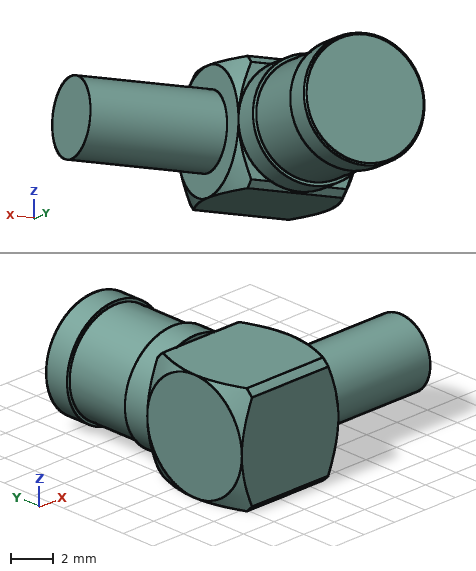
import cadquery as cq
import math

TOTAL_LENGTH_X = 13.55
TOTAL_LENGTH_Y = 13.25

BLOCK_SIZE = 6.35
BAR_DIAMETER = 8.5
END_CONE_SLOPE = 32.0

BARREL_DIAMETER = BLOCK_SIZE
GROOVE_DIAMETER = 6.0
COLLAR_LENGTH = 1.5
RIM_LENGTH = COLLAR_LENGTH
RIM_CHAMFER = 0.1

TUBE_DIAMETER = 4.0

block_half = BLOCK_SIZE / 2
barrel_length = TOTAL_LENGTH_Y - BLOCK_SIZE
tube_length = TOTAL_LENGTH_X - BLOCK_SIZE


def make_block():
    """A cube whose long edges keep the bar's round surface and whose end corners are coned."""
    bar_radius = BAR_DIAMETER / 2
    cone_depth = (bar_radius - block_half) * math.tan(math.radians(END_CONE_SLOPE))
    coned_bar = (
        cq.Workplane("XY")
        .moveTo(0, 0)
        .lineTo(0, block_half)
        .lineTo(cone_depth, bar_radius)
        .lineTo(BLOCK_SIZE - cone_depth, bar_radius)
        .lineTo(BLOCK_SIZE, block_half)
        .lineTo(BLOCK_SIZE, 0)
        .close()
        .revolve(360, (0, 0, 0), (1, 0, 0))
    )
    cube = cq.Workplane("XY").box(BLOCK_SIZE, BLOCK_SIZE, BLOCK_SIZE).translate((block_half, 0, 0))
    return cube.intersect(coned_bar)


def make_barrel():
    """The collar, the grooved neck and the chamfered rim on one axis along +Y."""
    block_face = cq.Plane(origin=(block_half, block_half, 0), xDir=(1, 0, 0), normal=(0, 1, 0))
    barrel = cq.Workplane(block_face).circle(BARREL_DIAMETER / 2).extrude(barrel_length)
    barrel = barrel.faces(">Y").edges().chamfer(RIM_CHAMFER)
    groove = (
        cq.Workplane(block_face)
        .workplane(offset=COLLAR_LENGTH)
        .circle(BARREL_DIAMETER)
        .circle(GROOVE_DIAMETER / 2)
        .extrude(barrel_length - COLLAR_LENGTH - RIM_LENGTH)
    )
    return barrel.cut(groove)


def make_housing():
    """The block and its barrel as one solid."""
    return make_block().union(make_barrel()).solids()


def make_tube():
    """The plain round cable tube, butted against the block."""
    block_end = cq.Workplane("YZ", origin=(BLOCK_SIZE, 0, 0))
    return block_end.circle(TUBE_DIAMETER / 2).extrude(tube_length)


housing = make_housing()
tube = make_tube()

result = cq.Compound.makeCompound([housing.val(), tube.val()])